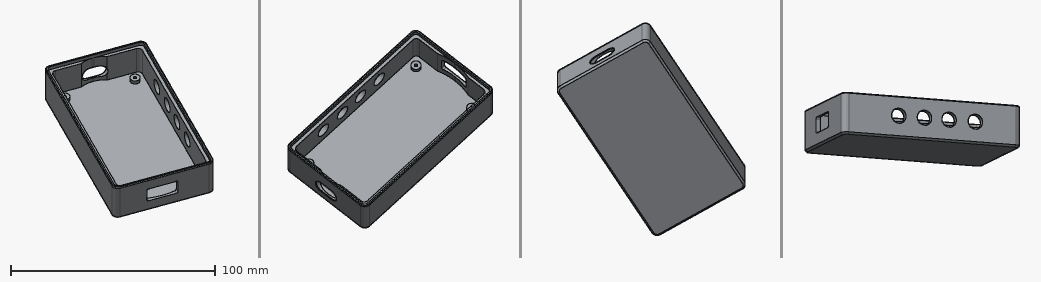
import cadquery as cq
import math

LENGTH = 94.0
WIDTH = 53.0
HEIGHT = 20.8
CORNER_RADIUS = 3.0
BOTTOM_CHAMFER = 1.0
RIM_CHAMFER = 0.5

END_WALL = 2.8
SIDE_WALL = 3.0
FLOOR = 3.0
CAVITY_CORNER_RADIUS = 2.2
RIM_WALL = 1.2
STEP_DEPTH = 2.0
STEP_CORNER_RADIUS = 2.0

BOSS_DIAMETER = 5.0
BOSS_HEIGHT = 2.0
PILOT_DIAMETER = 1.4
BOSS_CENTERS = [(-38.8, 18.4), (-38.9, -18.5), (38.6, 18.4), (39.0, -18.3)]

SIDE_HOLE_DIAMETER = 7.5
SIDE_HOLE_X = [-22.75, -8.9, 4.0, 17.6]
SIDE_HOLE_Z = 11.0

SLOT_LENGTH = 13.4
SLOT_HEIGHT = 7.05
SLOT_CHAMFER = 0.33
SLOT_Y = -0.5
SLOT_Z = 8.9

WINDOW_WIDTH = 16.4
WINDOW_HEIGHT = 8.0
WINDOW_CORNER_RADIUS = 1.0
WINDOW_Y = -1.1
WINDOW_Z = 10.6

RECESS_DEPTH = END_WALL - RIM_WALL
SLOT_RECESS_WIDTH = 13.5
SLOT_RECESS_Y = -0.9
WINDOW_RECESS_WIDTH = 20.5
WINDOW_RECESS_Y = -0.9
RECESS_FLAT_WIDTH = 0.9

STEP_Z = HEIGHT - STEP_DEPTH


def rounded_block(length, width, height, radius, base_z):
    """Block centred on the Z axis, with rounded vertical edges."""
    block = cq.Workplane("XY").workplane(offset=base_z).rect(length, width).extrude(height)
    return block.edges("|Z").fillet(radius)


def make_tray():
    """Open tray with a chamfered outside and a stepped mouth."""
    body = rounded_block(LENGTH, WIDTH, HEIGHT, CORNER_RADIUS, 0)
    body = body.faces("<Z").chamfer(BOTTOM_CHAMFER)
    body = body.faces(">Z").chamfer(RIM_CHAMFER)
    cavity = rounded_block(
        LENGTH - 2 * END_WALL, WIDTH - 2 * SIDE_WALL, HEIGHT - FLOOR, CAVITY_CORNER_RADIUS, FLOOR
    )
    step = rounded_block(
        LENGTH - 2 * RIM_WALL, WIDTH - 2 * RIM_WALL, STEP_DEPTH, STEP_CORNER_RADIUS, STEP_Z
    )
    return body.cut(cavity).cut(step)


def wall_recess(side, center_y, width):
    """Recess in the end wall at side = -1 (-X) or +1 (+X), from the floor up to the step.

    Two equal arcs run from the wall face into a narrow flat at full depth, tangent to it.
    """
    wall_x = side * (LENGTH / 2 - END_WALL)
    deepest_x = wall_x + side * RECESS_DEPTH
    half_width = width / 2
    half_flat = RECESS_FLAT_WIDTH / 2
    arc_span = half_width - half_flat
    arc_radius = (arc_span**2 + RECESS_DEPTH**2) / (2 * RECESS_DEPTH)
    half_angle = math.asin(arc_span / arc_radius) / 2
    middle_x = deepest_x - side * arc_radius * (1 - math.cos(half_angle))
    middle_offset = half_flat + arc_radius * math.sin(half_angle)
    return (
        cq.Workplane("XY", origin=(0, center_y, FLOOR))
        .moveTo(wall_x, -half_width)
        .threePointArc((middle_x, -middle_offset), (deepest_x, -half_flat))
        .lineTo(deepest_x, half_flat)
        .threePointArc((middle_x, middle_offset), (wall_x, half_width))
        .close()
        .extrude(STEP_Z - FLOOR)
    )


def make_bosses():
    """Four bosses on the floor, each with a pilot hole down to floor level."""
    return (
        cq.Workplane("XY")
        .workplane(offset=FLOOR)
        .pushPoints(BOSS_CENTERS)
        .circle(BOSS_DIAMETER / 2)
        .circle(PILOT_DIAMETER / 2)
        .extrude(BOSS_HEIGHT)
    )


def side_holes():
    """Cutters for the row of holes in the +Y wall."""
    centers = [(x, SIDE_HOLE_Z) for x in SIDE_HOLE_X]
    return (
        cq.Workplane("XZ")
        .pushPoints(centers)
        .circle(SIDE_HOLE_DIAMETER / 2)
        .extrude(-WIDTH / 2)
    )


def end_slot():
    """Cutter for the slot in the -X wall, flaring at the outer face."""
    flare = 2 * SLOT_CHAMFER
    mouth = (
        cq.Workplane("YZ", origin=(-LENGTH / 2, SLOT_Y, SLOT_Z))
        .slot2D(SLOT_LENGTH + flare, SLOT_HEIGHT + flare)
        .extrude(SLOT_CHAMFER, taper=45)
    )
    passage = (
        cq.Workplane("YZ", origin=(-LENGTH / 2, SLOT_Y, SLOT_Z))
        .slot2D(SLOT_LENGTH, SLOT_HEIGHT)
        .extrude(LENGTH / 2)
    )
    return mouth.union(passage)


def end_window():
    """Cutter for the round-cornered window in the +X wall."""
    return (
        cq.Workplane("YZ")
        .center(WINDOW_Y, WINDOW_Z)
        .rect(WINDOW_WIDTH, WINDOW_HEIGHT)
        .extrude(LENGTH / 2)
        .edges("|X")
        .fillet(WINDOW_CORNER_RADIUS)
    )


tray = make_tray()
tray = tray.cut(wall_recess(-1, SLOT_RECESS_Y, SLOT_RECESS_WIDTH))
tray = tray.cut(wall_recess(1, WINDOW_RECESS_Y, WINDOW_RECESS_WIDTH))
tray = tray.cut(side_holes())
tray = tray.cut(end_slot())
tray = tray.cut(end_window())
result = tray.union(make_bosses())